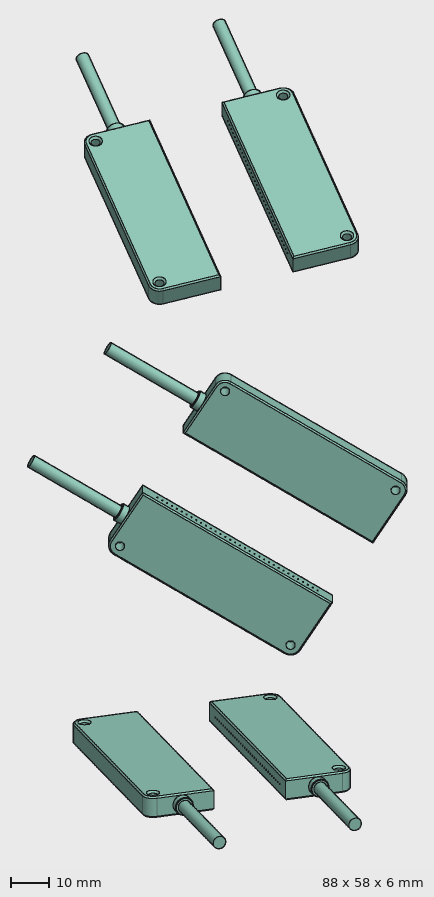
import cadquery as cq
TOTAL_LENGTH = 88.0
TOTAL_WIDTH = 58.0
GAP = 20.0

HOUSING_LENGTH = 59.0
HOUSING_WIDTH = (TOTAL_WIDTH - GAP) / 2
HOUSING_HEIGHT = 6.0
CORNER_RADIUS = 3.0
EDGE_CHAMFER = 0.4

SLEEVE_LENGTH = 2.0
SLEEVE_DIAMETER = 5.0
SLEEVE_CHAMFER = 0.2
CABLE_DIAMETER = 3.5
CABLE_INSET = 10.0

SCREW_HOLE_DIAMETER = 2.4
COUNTERSINK_DIAMETER = 3.5
COUNTERSINK_ANGLE = 90

LENS_COUNT = 34
LENS_ROW_LENGTH = 49.7
LENS_PITCH = LENS_ROW_LENGTH / (LENS_COUNT - 1)
LENS_DIAMETER = 0.3
LENS_DEPTH = 0.4

RIGHT_END = TOTAL_LENGTH / 2
LEFT_END = -TOTAL_LENGTH / 2
HOUSING_LEFT = RIGHT_END - HOUSING_LENGTH
HOUSING_CENTER_X = RIGHT_END - HOUSING_LENGTH / 2
INNER_SIDE = GAP / 2
OUTER_SIDE = TOTAL_WIDTH / 2
HOUSING_CENTER_Y = (INNER_SIDE + OUTER_SIDE) / 2
CABLE_Y = OUTER_SIDE - CABLE_INSET
SLEEVE_END = HOUSING_LEFT - SLEEVE_LENGTH


def make_rod(diameter, start_x, end_x):
    """Round rod along X on the cable axis."""
    return (
        cq.Workplane("YZ", origin=(start_x, CABLE_Y, 0))
        .circle(diameter / 2)
        .extrude(end_x - start_x)
    )


def make_block():
    """Flat block with two rounded outer corners and chamfered top and bottom rims."""
    block = cq.Workplane("XY").box(HOUSING_LENGTH, HOUSING_WIDTH, HOUSING_HEIGHT)
    block = block.edges("|Z and >Y").fillet(CORNER_RADIUS)
    block = block.faces("<Z or >Z").chamfer(EDGE_CHAMFER)
    return block.translate((HOUSING_CENTER_X, HOUSING_CENTER_Y, 0))


def cut_screw_holes(block):
    """Countersunk through holes at the two rounded corners."""
    hole_spread = HOUSING_LENGTH / 2 - CORNER_RADIUS
    hole_y = OUTER_SIDE - CORNER_RADIUS
    return (
        cq.Workplane(block.val())
        .copyWorkplane(cq.Workplane("XY", origin=(HOUSING_CENTER_X, hole_y, HOUSING_HEIGHT / 2)))
        .pushPoints([(-hole_spread, 0), (hole_spread, 0)])
        .cskHole(SCREW_HOLE_DIAMETER, COUNTERSINK_DIAMETER, COUNTERSINK_ANGLE)
    )


def make_lens_holes():
    """Cutters for the row of small blind holes in the inner long side."""
    return (
        cq.Workplane("XZ", origin=(HOUSING_CENTER_X, INNER_SIDE, 0))
        .rarray(LENS_PITCH, 0.9, LENS_COUNT, 1)
        .circle(LENS_DIAMETER / 2)
        .extrude(-LENS_DEPTH)
    )


def make_housing():
    """Sensor housing on the +Y side, with its cable sleeve."""
    sleeve = make_rod(SLEEVE_DIAMETER, SLEEVE_END, HOUSING_LEFT).faces("<X").chamfer(SLEEVE_CHAMFER)
    block = cut_screw_holes(make_block())
    return block.cut(make_lens_holes()).union(sleeve)


def make_cable():
    """Cable stub on the +Y side, butting against the sleeve end."""
    return make_rod(CABLE_DIAMETER, LEFT_END, SLEEVE_END)


bodies = []
for make_body in (make_housing, make_cable):
    body = make_body()
    bodies.append(body.val())
    bodies.append(body.mirror("XZ").val())

result = cq.Compound.makeCompound(bodies)